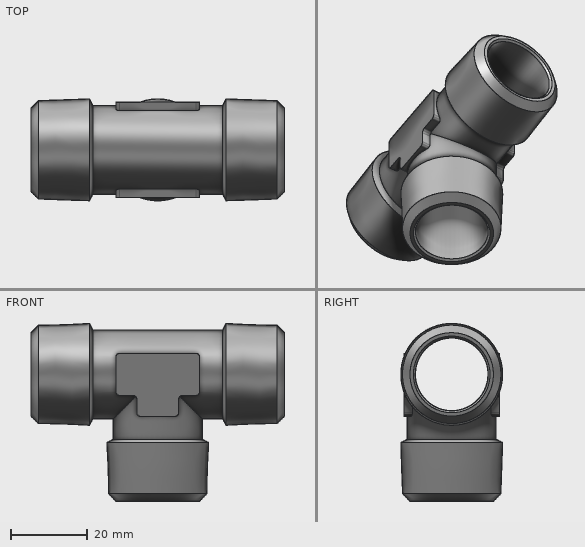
import cadquery as cq

run_length = 66.4
arm_length = run_length / 2
pipe_radius = 23.3 / 2
bore_radius = 19.0 / 2
bore_chamfer = 0.5

collar_length = 16.2
collar_back_radius = 26.7 / 2
collar_front_radius = 25.75 / 2
nose_radius = 21.85 / 2
nose_length = 2.0
shoulder_length = 0.85

pad_span = 25.0
pad_width = 21.9
pad_height = 11.0
stem_width = pad_width / 2
stem_length = 5.5
pad_corner_radius = 1.0


def revolve_arm(profile, direction):
    """Revolve a (radius, distance) profile about an axis leaving the tee centre."""
    normal = cq.Vector(0, 1, 0).cross(cq.Vector(*direction))
    plane = cq.Plane(origin=(0, 0, 0), xDir=(0, 1, 0), normal=normal)
    return cq.Workplane(plane).polyline(profile).close().revolve(360, (0, 0), (0, 1))


def arm_body(direction):
    collar_start = arm_length - collar_length
    profile = [
        (0, 0),
        (pipe_radius, 0),
        (pipe_radius, collar_start),
        (collar_back_radius, collar_start + shoulder_length),
        (collar_front_radius, arm_length - nose_length),
        (nose_radius, arm_length),
        (0, arm_length),
    ]
    return revolve_arm(profile, direction)


def arm_bore(direction):
    profile = [
        (0, 0),
        (bore_radius, 0),
        (bore_radius, arm_length - bore_chamfer),
        (bore_radius + bore_chamfer, arm_length),
        (0, arm_length),
    ]
    return revolve_arm(profile, direction)


def side_pads():
    """T-shaped block through the tee; only its two faces stand proud as pads."""
    half_height = pad_height / 2
    outline = [
        (-pad_width / 2, half_height),
        (pad_width / 2, half_height),
        (pad_width / 2, -half_height),
        (stem_width / 2, -half_height),
        (stem_width / 2, -half_height - stem_length),
        (-stem_width / 2, -half_height - stem_length),
        (-stem_width / 2, -half_height),
        (-pad_width / 2, -half_height),
    ]
    block = cq.Workplane("XZ").polyline(outline).close().extrude(pad_span / 2, both=True)
    return block.edges("|Y").fillet(pad_corner_radius)


arm_directions = [(-1, 0, 0), (1, 0, 0), (0, 0, -1)]

result = side_pads()
for direction in arm_directions:
    result = result.union(arm_body(direction))
for direction in arm_directions:
    result = result.cut(arm_bore(direction))